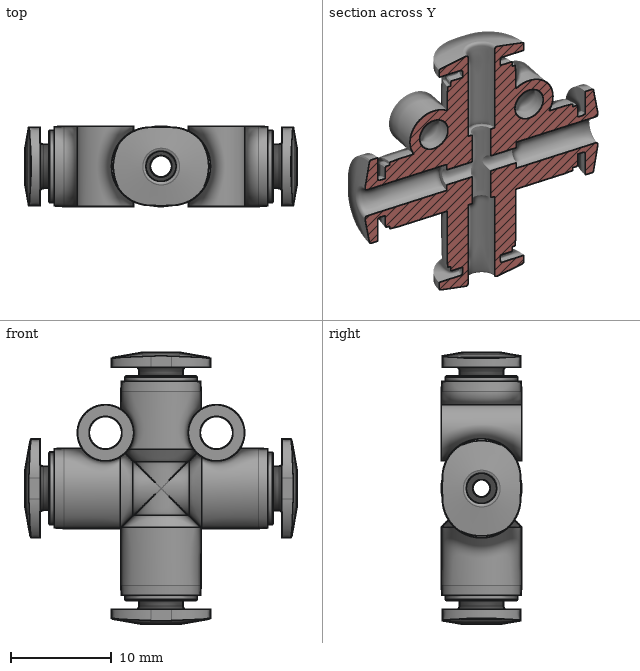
import cadquery as cq

half_span = 13.5
body_diameter = 8.0
core_diameter = 5.6

shoulder_width = 1.22
shoulder_start_x = 2.8
shoulder_start_z = 2.65
taper_start = 9.65
taper_end = 10.6
taper_end_diameter = 7.85
collar_end = 11.15
collar_diameter = 7.2
collar_chamfer = 0.14

neck_diameter = 4.4
neck_flare_start = 11.66
neck_flare_diameter = 4.67
flange_back = 12.0
flange_width = 7.78
flange_length = 9.83
crown_drop = 0.5
crown_diameter = 9.45
rim_drop = 0.1

socket_diameter = 3.0
socket_floor = 4.05
lip_diameter = 3.65
passage_diameter_x = 1.7
passage_diameter_z = 2.1

lug_diameter = 5.6
lug_hole_diameter = 3.2
lug_offset = 5.5


def make_body(shoulder_start):
    """Port body on +Z, from the slim core at the centre out to the collar."""
    core_radius = core_diameter / 2
    body_radius = body_diameter / 2
    collar_radius = collar_diameter / 2
    outline = [
        (0, 0),
        (core_radius, 0),
        (core_radius, shoulder_start),
        (body_radius, shoulder_start + shoulder_width),
        (body_radius, taper_start),
        (taper_end_diameter / 2, taper_end),
        (collar_radius, taper_end),
        (collar_radius, collar_end - collar_chamfer),
        (collar_radius - collar_chamfer, collar_end),
        (0, collar_end),
    ]
    return cq.Workplane("XZ").polyline(outline).close().revolve(360, (0, 0), (0, 1))


def make_button():
    """Release button on +Z, with its flange longer along X than along Y."""
    neck_radius = neck_diameter / 2
    neck = (
        cq.Workplane("XZ")
        .moveTo(0, collar_end)
        .lineTo(neck_radius, collar_end)
        .lineTo(neck_radius, neck_flare_start)
        .tangentArcPoint((neck_flare_diameter / 2, flange_back), relative=False)
        .lineTo(0, flange_back)
        .close()
        .revolve(360, (0, 0), (0, 1))
    )
    crown_edge = half_span - crown_drop
    crown_outline = [
        (0, flange_back),
        (flange_length / 2, flange_back),
        (flange_length / 2, crown_edge - rim_drop),
        (crown_diameter / 2, crown_edge),
        (lip_diameter / 2, half_span),
        (0, half_span),
    ]
    crown = cq.Workplane("XZ").polyline(crown_outline).close().revolve(360, (0, 0), (0, 1))
    oblong = (
        cq.Workplane("XY")
        .workplane(offset=flange_back)
        .slot2D(flange_length, flange_width)
        .extrude(half_span - flange_back)
    )
    return neck.union(crown.intersect(oblong))


def make_bore(passage_diameter):
    """Socket on +Z with a rounded mouth, and the passage from its floor to the centre."""
    socket_radius = socket_diameter / 2
    passage_radius = passage_diameter / 2
    lip_radius = (lip_diameter - socket_diameter) / 2
    lip_bulge = lip_radius * (1 - 0.5**0.5)
    return (
        cq.Workplane("XZ")
        .lineTo(passage_radius, 0)
        .lineTo(passage_radius, socket_floor)
        .lineTo(socket_radius, socket_floor)
        .lineTo(socket_radius, half_span - lip_radius)
        .threePointArc(
            (socket_radius + lip_bulge, half_span - lip_bulge),
            (lip_diameter / 2, half_span),
        )
        .lineTo(0, half_span)
        .close()
        .revolve(360, (0, 0), (0, 1))
    )


def place_on_arm(shape, angle):
    """Turn a shape built on +Z about the Y axis onto one arm of the cross."""
    return shape.rotate((0, 0, 0), (0, 1, 0), angle)


def make_lug_cylinder(x, diameter):
    """Cylinder along Y across the full thickness of the part, at one lug position."""
    return (
        cq.Workplane("XZ", origin=(x, body_diameter / 2, lug_offset))
        .circle(diameter / 2)
        .extrude(body_diameter)
    )


arms = [
    (0, shoulder_start_z, passage_diameter_z),
    (90, shoulder_start_x, passage_diameter_x),
    (180, shoulder_start_z, passage_diameter_z),
    (270, shoulder_start_x, passage_diameter_x),
]
lug_positions = (-lug_offset, lug_offset)

result = cq.Workplane("XY")
for angle, shoulder_start, _ in arms:
    arm = make_body(shoulder_start).union(make_button())
    result = result.union(place_on_arm(arm, angle))

for x in lug_positions:
    result = result.union(make_lug_cylinder(x, lug_diameter))

for angle, _, passage_diameter in arms:
    result = result.cut(place_on_arm(make_bore(passage_diameter), angle))

for x in lug_positions:
    result = result.cut(make_lug_cylinder(x, lug_hole_diameter))